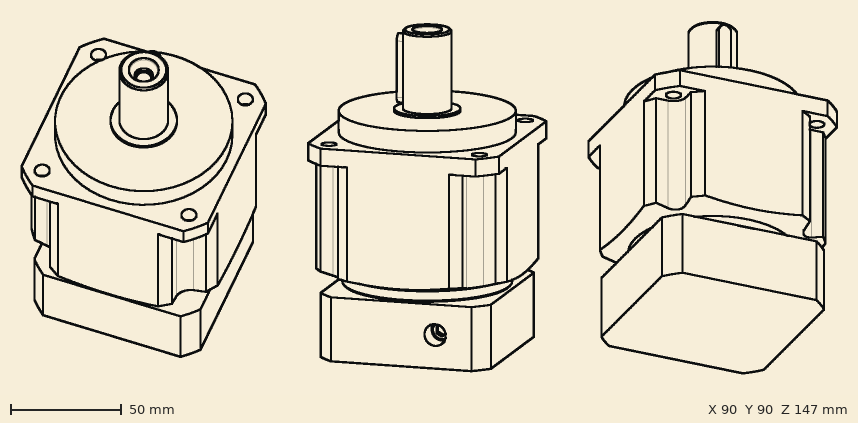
import cadquery as cq
import math

adapter_top = 29.7
neck_top = 34.7
flange_bottom = 91.5
flange_top = 99.4
pilot_top = 109.4
shoulder_top = 110.4
shaft_top = 147.0

flange_width = 90.0
half_width = flange_width / 2
flange_corner_radius = 57.9
pilot_radius = 40.0
bolt_offset = 35.5
bolt_hole_radius = 3.4
bolt_groove_radius = 6.0
bevel_start = 24.1
bevel_depth = 3.7
neck_radius = 38.4
neck_chamfer = 0.7
cone_angle = math.radians(17.5)

adapter_width = 80.3
adapter_corner_radius = 52.0

screw_y = -16.0
screw_z = 15.6
screw_radius = 5.0
screw_recess = 10.0
screw_length = 6.0
screw_chamfer = 0.9
socket_across_flats = 5.0
socket_depth = 3.0

shaft_radius = 11.0
shaft_chamfer = 0.9
shoulder_radius = 15.0
centre_rim_radius = 6.8
centre_cone_radius = 6.2
centre_recess_radius = 4.1
centre_bore_radius = 3.4
centre_recess_depth = 6.0
centre_bore_depth = 25.0
rim_cone_angle = math.radians(45)
centre_cone_angle = math.radians(30)
drill_tip_angle = math.radians(59)

key_width = 6.0
key_length = 32.0
key_top = 144.4
key_seat_y = 7.5
key_outer_y = 13.5


def rounded_square(width, corner_radius, bottom, top):
    """Square block whose four corners are turned to one radius about the axis."""
    height = top - bottom
    square = cq.Workplane("XY").workplane(offset=bottom).rect(width, width).extrude(height)
    disc = cq.Workplane("XY").workplane(offset=bottom).circle(corner_radius).extrude(height)
    return square.intersect(disc)


def corner_relief(bottom, top):
    """Material taken off the (+X, +Y) corner below the flange."""
    inner = bolt_offset - bolt_groove_radius
    ledge = half_width - bevel_depth
    arc_middle = bolt_offset - bolt_groove_radius * math.sqrt(0.5)
    return (
        cq.Workplane("XY")
        .workplane(offset=bottom)
        .moveTo(bevel_start, half_width)
        .lineTo(inner, ledge)
        .lineTo(inner, bolt_offset)
        .threePointArc((arc_middle, arc_middle), (bolt_offset, inner))
        .lineTo(ledge, inner)
        .lineTo(half_width, bevel_start)
        .lineTo(half_width, half_width)
        .close()
        .extrude(top - bottom)
    )


def turned_envelope():
    """Round blank that gives the body its conical underside."""
    cone_height = (flange_corner_radius - neck_radius) * math.tan(cone_angle)
    return (
        cq.Workplane("XZ")
        .moveTo(0, neck_top)
        .lineTo(neck_radius, neck_top)
        .lineTo(flange_corner_radius, neck_top + cone_height)
        .lineTo(flange_corner_radius, flange_top)
        .lineTo(0, flange_top)
        .close()
        .revolve(360, (0, 0, 0), (0, 1, 0))
    )


def make_housing():
    body = rounded_square(flange_width, flange_corner_radius, neck_top, flange_top)
    relief = corner_relief(neck_top, flange_bottom)
    for corner in range(4):
        body = body.cut(relief.rotate((0, 0, 0), (0, 0, 1), 90 * corner))
    body = body.intersect(turned_envelope())

    bolt_holes = (
        cq.Workplane("XY")
        .workplane(offset=flange_bottom)
        .rect(2 * bolt_offset, 2 * bolt_offset, forConstruction=True)
        .vertices()
        .circle(bolt_hole_radius)
        .extrude(flange_top - flange_bottom)
    )
    pilot = (
        cq.Workplane("XY")
        .workplane(offset=flange_top)
        .circle(pilot_radius)
        .extrude(pilot_top - flange_top)
    )
    neck = (
        cq.Workplane("XY")
        .workplane(offset=adapter_top)
        .circle(neck_radius)
        .extrude(neck_top - adapter_top)
        .faces("<Z")
        .chamfer(neck_chamfer)
    )
    return body.cut(bolt_holes).union(pilot).union(neck)


def side_plane(depth):
    """Plane on the screw axis, at a depth below the -X side of the adapter, facing +X."""
    return cq.Workplane("YZ", origin=(depth - adapter_width / 2, screw_y, screw_z))


def make_adapter():
    block = rounded_square(adapter_width, adapter_corner_radius, 0, adapter_top)
    access_hole = side_plane(0).circle(screw_radius).extrude(screw_recess + screw_length)
    return block.cut(access_hole)


def make_screw():
    head = (
        side_plane(screw_recess)
        .circle(screw_radius)
        .extrude(screw_length)
        .faces("<X")
        .chamfer(screw_chamfer)
    )
    across_corners = socket_across_flats / math.cos(math.radians(30))
    socket = (
        side_plane(screw_recess)
        .transformed(rotate=(0, 0, 90))
        .polygon(6, across_corners)
        .extrude(socket_depth)
    )
    return head.cut(socket)


def make_key():
    return (
        cq.Workplane("XZ", origin=(0, key_outer_y, key_top - key_length / 2))
        .slot2D(key_length, key_width, 90)
        .extrude(key_outer_y - key_seat_y)
    )


def centre_hole():
    """Stepped centre hole in the shaft end: flared rim, cone, recess, bore and drill tip."""
    rim_depth = (centre_rim_radius - centre_cone_radius) / math.tan(rim_cone_angle)
    cone_depth = (centre_cone_radius - centre_recess_radius) / math.tan(centre_cone_angle)
    tip_depth = centre_bore_radius / math.tan(drill_tip_angle)
    return (
        cq.Workplane("XZ", origin=(0, 0, shaft_top))
        .lineTo(centre_rim_radius, 0)
        .lineTo(centre_cone_radius, -rim_depth)
        .lineTo(centre_recess_radius, -rim_depth - cone_depth)
        .lineTo(centre_recess_radius, -centre_recess_depth)
        .lineTo(centre_bore_radius, -centre_recess_depth)
        .lineTo(centre_bore_radius, -centre_bore_depth)
        .lineTo(0, -centre_bore_depth - tip_depth)
        .close()
        .revolve(360, (0, 0, 0), (0, 1, 0))
    )


def make_shaft(key):
    shoulder = (
        cq.Workplane("XY")
        .workplane(offset=pilot_top)
        .circle(shoulder_radius)
        .extrude(shoulder_top - pilot_top)
    )
    journal = (
        cq.Workplane("XY")
        .workplane(offset=shoulder_top)
        .circle(shaft_radius)
        .extrude(shaft_top - shoulder_top)
        .faces(">Z")
        .chamfer(shaft_chamfer)
    )
    return shoulder.union(journal).cut(centre_hole()).cut(key)


housing = make_housing()
adapter = make_adapter()
screw = make_screw()
key = make_key()
shaft = make_shaft(key)

result = cq.Compound.makeCompound(
    [housing.val(), adapter.val(), screw.val(), key.val(), shaft.val()]
)